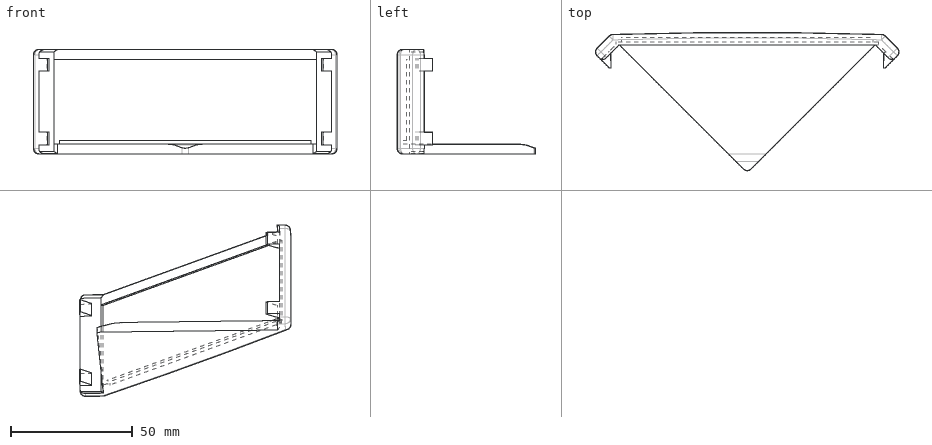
import cadquery as cq
import math

half_width = 62.3
height = 43.0
depth = 56.8
edge_radius = 2.2

bow = 0.9
inner_y = -5.1
recess_depth = 1.1
recess_back_y = inner_y + recess_depth
recess_margin = 4.1
slot_half_length = 51.6
slot_height = 1.5
slot_depth = 1.9

plate_thickness = 4.1
tip_radius = 2.0
first_slope_y = -50.0
second_slope_y = -53.1
second_slope_z = 3.7
tip_z = 2.4
tip_corner_y = -depth - tip_radius * (math.sqrt(2) - 1)
root_x = inner_y - tip_corner_y

end_sum = 71.3
end_corner_x = half_width + edge_radius * (math.sqrt(2) - 1)
end_corner_y = end_corner_x - end_sum
bend_x = end_corner_x + end_corner_y + bow
wing_line = root_x + inner_y
rim_end_x = (end_sum + wing_line) / 2
rim_end_y = rim_end_x - end_sum

dish_depth = 1.0
dish_edge = 0.1
dish_length = 24.9

hook_z = 3.7
hook_height = 5.2
hook_tip_y = -14.7
hook_tip_width = 0.7
hook_root_y = -8.6
hook_outer_x = end_sum + hook_tip_y


def block(x_half, y_min, y_max, z_min, z_max):
    """Box centred on X between the given Y and Z limits."""
    size = (2 * x_half, y_max - y_min, z_max - z_min)
    return cq.Workplane("XY").box(*size, centered=(True, False, False)).translate((0, y_min, z_min))


def both_sides(shape):
    return shape.union(shape.mirror("YZ"))


def make_shell():
    """Back wall and wings with rounded outer edges."""
    shell = (
        cq.Workplane("XY")
        .moveTo(-bend_x, -bow)
        .threePointArc((0, 0), (bend_x, -bow))
        .lineTo(end_corner_x, end_corner_y)
        .lineTo(rim_end_x, rim_end_y)
        .lineTo(root_x, inner_y)
        .lineTo(-root_x, inner_y)
        .lineTo(-rim_end_x, rim_end_y)
        .lineTo(-end_corner_x, end_corner_y)
        .close()
        .extrude(height)
    )
    middle = height / 2
    wing_middle = ((bend_x + end_corner_x) / 2, (end_corner_y - bow) / 2)
    end_middle = ((rim_end_x + end_corner_x) / 2, (rim_end_y + end_corner_y) / 2)
    outer_points = []
    for side in (-1, 1):
        for x, y in ((bend_x, -bow), (end_corner_x, end_corner_y)):
            outer_points.append((side * x, y, middle))
        for x, y in (wing_middle, end_middle):
            for z in (0, height):
                outer_points.append((side * x, y, z))
    for z in (0, height):
        outer_points.append((0, 0, z))
    outer_edges = [
        min(shell.edges().vals(), key=lambda edge: edge.distance(cq.Vertex.makeVertex(*point)))
        for point in outer_points
    ]
    return shell.newObject(outer_edges).fillet(edge_radius)


def make_dish():
    """Bevelled cutter for the inside face of the +X wing."""
    along_wing = cq.Plane(
        origin=(root_x, inner_y, 0), xDir=(1, 1, 0), normal=(1, -1, 0)
    )
    local_up = along_wing.yDir.z
    low = dish_edge
    high = height - dish_edge
    profile = [
        (-dish_depth, low),
        (0, low),
        (dish_depth, low + dish_depth),
        (dish_depth, high - dish_depth),
        (0, high),
        (-dish_depth, high),
    ]
    cutter = (
        cq.Workplane(along_wing)
        .polyline([(x, local_up * z) for x, z in profile])
        .close()
        .extrude(dish_length, both=True)
    )
    return cutter.intersect(block(end_sum, -depth, inner_y, 0, height))


def make_plate():
    back_y = recess_back_y
    triangle = (
        cq.Workplane("XY")
        .polyline(
            [
                (-root_x, inner_y),
                (0, tip_corner_y),
                (root_x, inner_y),
                (root_x, back_y),
                (-root_x, back_y),
            ]
        )
        .close()
        .extrude(plate_thickness)
        .edges("|Z and <Y")
        .fillet(tip_radius)
    )
    side_profile = (
        cq.Workplane("YZ")
        .polyline(
            [
                (0, 0),
                (0, plate_thickness),
                (first_slope_y, plate_thickness),
                (second_slope_y, second_slope_z),
                (-depth, tip_z),
                (-depth, 0),
            ]
        )
        .close()
        .extrude(half_width, both=True)
    )
    return triangle.intersect(side_profile)


def make_hook(bottom):
    """Hook continuing the end face of the +X wing."""
    root_inner_x = wing_line - hook_root_y
    middle_x = (root_inner_x + rim_end_x) / 2
    embed_x = middle_x + dish_depth
    embed_y = wing_line - middle_x + dish_depth
    end_x = rim_end_x + dish_depth
    return (
        cq.Workplane("XY")
        .workplane(offset=bottom)
        .polyline(
            [
                (root_inner_x, hook_root_y),
                (hook_outer_x - hook_tip_width, hook_tip_y),
                (hook_outer_x, hook_tip_y),
                (end_x, end_x - end_sum),
                (embed_x, embed_y),
                (root_inner_x + dish_depth, hook_root_y + dish_depth),
            ]
        )
        .close()
        .extrude(hook_height)
    )


recess_x = root_x + math.sqrt(2) * dish_depth
recess = block(recess_x, inner_y, recess_back_y, plate_thickness, height - recess_margin)
slot = block(
    slot_half_length, inner_y, recess_back_y + slot_depth, plate_thickness, plate_thickness + slot_height
)

result = make_shell().cut(both_sides(make_dish())).union(make_plate())
result = result.cut(recess).cut(slot)
for bottom in (hook_z, height - hook_z - hook_height):
    result = result.union(both_sides(make_hook(bottom)))